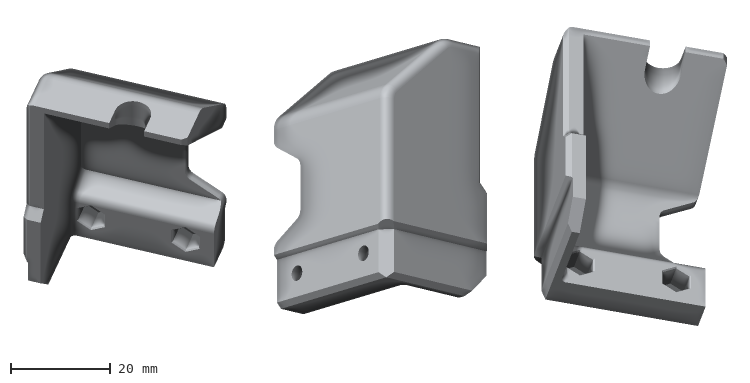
import cadquery as cq
import math

WIDTH = 34.0
DEPTH = 28.0
HEIGHT = 52.5

PLATE_THICKNESS = 3.95
FRONT_STEP = 2.0
STEP_TOP = 24.0
TOE_CHAMFER = 4.95
SLOPE_START = 11.75
BACK_HEIGHT = 38.8
OUTLINE_RADIUS = 4.0
EDGE_FILLET = 2.0
FRONT_CHAMFER = 1.0

ROOF_THICKNESS = 1.5
BACK_THICKNESS = 2.0
SLOPE_FOOT = 33.85
INNER_RADIUS = 2.0

BLOCK_FRONT = 20.0
BLOCK_TOP = 13.0
BLOCK_SLOPE = 20.0
BLOCK_RADIUS = 2.0
BLOCK_PLATE_FILLET = 1.0

FOOT_HEIGHT = 10.05
FOOT_SIDE_INSET = 1.2
FOOT_BACK_INSET = 0.85
FOOT_BEVEL = 1.1
FOOT_CORNER = 2 * FOOT_BEVEL
FLARE_RISE = 2.1

SLOT_X = 21.45
SLOT_WIDTH = 7.4
SLOT_END = 9.6

WINDOW_X = 26.05
WINDOW_Z = 23.25
WINDOW_HALF_HEIGHT = 5.7
WINDOW_FLARE = 30.0
WINDOW_RADIUS = 2.0

BOLT_X = 8.0
BOLT_SPACING = 20.0
BOLT_Z = 6.0
BOLT_DIAMETER = 3.2
NUT_FLATS = 5.5
NUT_DEPTH = 5.0
NUT_MOUTH = 0.25

OVERCUT = 2.6

INNER_BACK = DEPTH - BACK_THICKNESS


def near(x, y, z):
    """Selector for the edge whose centre is closest to a point."""
    return cq.selectors.NearestToPointSelector((x, y, z))


def outer_body():
    """Full-width solid with the side plate's outline, rounded and chamfered on the outer face."""
    outline = [
        (0, TOE_CHAMFER),
        (TOE_CHAMFER, 0),
        (DEPTH, 0),
        (DEPTH, BACK_HEIGHT),
        (SLOPE_START, HEIGHT),
        (FRONT_STEP, HEIGHT),
        (FRONT_STEP, STEP_TOP),
        (0, STEP_TOP - FRONT_STEP),
    ]
    body = cq.Workplane("YZ").polyline(outline).close().extrude(WIDTH)
    for y, z in [(DEPTH, BACK_HEIGHT), (SLOPE_START, HEIGHT)]:
        body = body.edges(near(WIDTH / 2, y, z)).fillet(OUTLINE_RADIUS)
    body = body.edges(near(0, DEPTH, BACK_HEIGHT / 2)).fillet(EDGE_FILLET)
    return body.cut(front_edge_chamfer())


def front_edge_chamfer():
    """45 degree wedge along the stepped front edge of the side plate's outer face."""
    def front_line(setback):
        shift = setback * math.tan(math.radians(22.5))
        return [
            (setback, -OVERCUT),
            (setback, STEP_TOP - FRONT_STEP - shift),
            (FRONT_STEP + setback, STEP_TOP - shift),
            (FRONT_STEP + setback, HEIGHT + OVERCUT),
            (-OVERCUT, HEIGHT + OVERCUT),
            (-OVERCUT, -OVERCUT),
        ]

    return (
        cq.Workplane("YZ")
        .polyline(front_line(FRONT_CHAMFER)).close()
        .workplane(offset=FRONT_CHAMFER)
        .polyline(front_line(0)).close()
        .loft(ruled=True)
    )


def hollow():
    """Open space in front of the walls; its lower back corner leaves the nut block standing."""
    block_corner = BLOCK_TOP - (INNER_BACK - BLOCK_FRONT) * math.tan(math.radians(BLOCK_SLOPE))
    outline = [
        (-OVERCUT, HEIGHT + OVERCUT),
        (FRONT_STEP, HEIGHT + OVERCUT),
        (FRONT_STEP, HEIGHT - ROOF_THICKNESS),
        (INNER_BACK, SLOPE_FOOT),
        (INNER_BACK, BLOCK_TOP),
        (BLOCK_FRONT, block_corner),
        (BLOCK_FRONT, -OVERCUT),
        (-OVERCUT, -OVERCUT),
    ]
    length = WIDTH - PLATE_THICKNESS + OVERCUT
    middle = PLATE_THICKNESS + length / 2
    space = cq.Workplane("YZ").workplane(offset=PLATE_THICKNESS).polyline(outline).close().extrude(length)
    space = space.edges(near(middle, INNER_BACK, SLOPE_FOOT)).fillet(INNER_RADIUS)
    space = space.edges(near(middle, BLOCK_FRONT, block_corner)).fillet(BLOCK_RADIUS)
    reach = BLOCK_PLATE_FILLET / 2
    beside_block = cq.selectors.BoxSelector(
        (PLATE_THICKNESS - reach, BLOCK_FRONT - reach, -OVERCUT),
        (PLATE_THICKNESS + reach, INNER_BACK - reach, BLOCK_TOP),
    )
    return space.edges(beside_block).fillet(BLOCK_PLATE_FILLET)


def foot_outline(spread):
    """Foot outline from above, with its outer faces moved outward by the spread."""
    side = FOOT_SIDE_INSET - spread
    back = DEPTH - FOOT_BACK_INSET + spread
    return [
        (side, -OVERCUT),
        (side, back - FOOT_CORNER),
        (side + FOOT_CORNER, back),
        (WIDTH + OVERCUT, back),
        (WIDTH + OVERCUT, -OVERCUT),
    ]


def foot_envelope():
    """Everything the part may fill: bevelled foot, flare, and free space above."""
    foot = cq.Workplane("XY").polyline(foot_outline(0)).close().extrude(FOOT_HEIGHT)
    side_bevel = (
        cq.Workplane("XZ", origin=(FOOT_SIDE_INSET, -OVERCUT, 0))
        .polyline([(0, 0), (FOOT_BEVEL, 0), (0, FOOT_BEVEL)]).close()
        .extrude(-(DEPTH + 2 * OVERCUT))
    )
    back_bevel = (
        cq.Workplane("YZ", origin=(0, DEPTH - FOOT_BACK_INSET, 0))
        .polyline([(0, 0), (-FOOT_BEVEL, 0), (0, FOOT_BEVEL)]).close()
        .extrude(WIDTH + OVERCUT)
    )
    foot = foot.cut(side_bevel).cut(back_bevel)
    flare = (
        cq.Workplane("XY", origin=(0, 0, FOOT_HEIGHT))
        .polyline(foot_outline(0)).close()
        .workplane(offset=FLARE_RISE)
        .polyline(foot_outline(FLARE_RISE)).close()
        .loft(ruled=True)
    )
    above = (
        cq.Workplane("XY", origin=(0, 0, FOOT_HEIGHT + FLARE_RISE))
        .polyline(foot_outline(FLARE_RISE)).close()
        .extrude(HEIGHT)
    )
    return foot.union(flare).union(above)


def roof_slot():
    """Round-ended slot, open to the front."""
    radius = SLOT_WIDTH / 2
    centre = SLOT_END - radius
    return (
        cq.Workplane("XY", origin=(SLOT_X, centre, HEIGHT / 2))
        .moveTo(-radius, -centre - OVERCUT)
        .lineTo(-radius, 0)
        .threePointArc((0, radius), (radius, 0))
        .lineTo(radius, -centre - OVERCUT)
        .close()
        .extrude(HEIGHT)
    )


def roof_corner():
    """Chamfer on the free front corner of the roof."""
    return (
        cq.Workplane("XY", origin=(WIDTH, FRONT_STEP, HEIGHT / 2))
        .polyline([(0, 0), (-FRONT_CHAMFER, 0), (0, FRONT_CHAMFER)]).close()
        .extrude(HEIGHT)
    )


def window():
    """Trapezoid notch through the back wall, rounded inside and where it leaves the free edge."""
    flare_rise = (WIDTH - WINDOW_X) * math.tan(math.radians(WINDOW_FLARE))
    mouth = WINDOW_HALF_HEIGHT + flare_rise
    outside = WIDTH + OVERCUT
    lip = mouth + OVERCUT
    outline = [
        (WINDOW_X, -WINDOW_HALF_HEIGHT),
        (WINDOW_X, WINDOW_HALF_HEIGHT),
        (WIDTH, mouth),
        (WIDTH, lip),
        (outside, lip),
        (outside, -lip),
        (WIDTH, -lip),
        (WIDTH, -mouth),
    ]
    notch = cq.Workplane("XZ", origin=(0, 0, WINDOW_Z)).polyline(outline).close().extrude(-DEPTH - OVERCUT)
    middle = (DEPTH + OVERCUT) / 2
    for side in (1, -1):
        for x, height in [(WINDOW_X, WINDOW_HALF_HEIGHT), (WIDTH, mouth)]:
            notch = notch.edges(near(x, middle, WINDOW_Z + side * height)).fillet(WINDOW_RADIUS)
    return notch


def hexagon_diameter(flats):
    """Distance across the points of a hexagon, from its distance across the flats."""
    return flats / math.cos(math.radians(30))


def bolt_hole(x):
    """Bolt hole with a hexagonal nut pocket, points up, opening toward the front."""
    face = cq.Workplane("XZ", origin=(x, BLOCK_FRONT, BOLT_Z)).transformed(rotate=(0, 0, 30))
    hole = face.circle(BOLT_DIAMETER / 2).extrude(-DEPTH)
    pocket = face.polygon(6, hexagon_diameter(NUT_FLATS)).extrude(-NUT_DEPTH)
    mouth = face.polygon(6, hexagon_diameter(NUT_FLATS + 2 * NUT_MOUTH)).extrude(-NUT_MOUTH, taper=45)
    return hole.union(pocket).union(mouth)


result = outer_body().cut(hollow()).intersect(foot_envelope())
result = result.cut(roof_slot()).cut(roof_corner()).cut(window())
for bolt in range(2):
    result = result.cut(bolt_hole(BOLT_X + bolt * BOLT_SPACING))